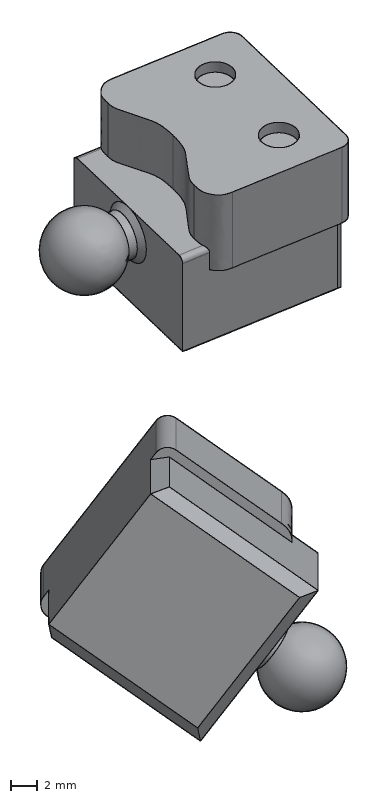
import cadquery as cq


block_width = 15.0
block_depth = 15.0
block_height = 9.98
block_chamfer = 1.0
block_top_fillet = 0.5

cap_width = 16.5
cap_depth = 12.94
cap_bottom = 7.83
cap_top = 15.15
cap_back_radius = 1.1
cap_side_end = 10.99
lobe_inner_x = 5.98
wave_end_x = 5.85
wave_crest_depth = 10.97

hole_diameter = 3.09
hole_spacing = 8.77
hole_inset = 4.25
hole_depth = 1.0

ball_radius = 3.4
ball_height = 7.5
overall_depth = 22.38
ball_center_y = ball_radius - overall_depth
neck_diameter = 4.0
neck_flare = 0.5


def make_block():
    block = cq.Workplane("XY").box(
        block_width, block_depth, block_height, centered=(True, False, False)
    )
    block = block.translate((0, -block_depth, 0))
    block = block.edges("|Y and >Z").fillet(block_top_fillet)
    block = block.edges("|Z and >Y").chamfer(block_chamfer)
    return block.faces("<Z").edges("|Y or <Y").chamfer(block_chamfer)


def make_cap():
    half_width = cap_width / 2
    side_end = (half_width, -cap_side_end)
    lobe_points = [(7.8, -12.26), (7.16, -12.75)]
    lobe_end = (lobe_inner_x, -cap_depth)
    wave_start = (wave_end_x, -cap_depth)
    wave_points = [(4.59, -12.55), (3.07, -11.73)]
    crest = (0, -wave_crest_depth)

    half = (
        cq.Workplane("XY", origin=(0, 0, cap_bottom))
        .lineTo(half_width, 0)
        .lineTo(*side_end)
        .spline([side_end] + lobe_points + [lobe_end], tangents=[(0, -1), (-1, 0)])
        .lineTo(*wave_start)
        .spline([wave_start] + wave_points + [crest], tangents=[(-1, 0), (-1, 0)])
        .close()
        .extrude(cap_top - cap_bottom)
    )
    half = half.edges("|Z and >X and >Y").fillet(cap_back_radius)
    return half.union(half.mirror("YZ"))


def make_holes():
    return (
        cq.Workplane("XY", origin=(0, -hole_inset, cap_top))
        .pushPoints([(-hole_spacing / 2, 0), (hole_spacing / 2, 0)])
        .circle(hole_diameter / 2)
        .extrude(-hole_depth)
    )


def make_ball_stud():
    neck_radius = neck_diameter / 2
    flare_end = -block_depth - neck_flare
    neck = (
        cq.Workplane("XY", origin=(0, 0, ball_height))
        .moveTo(0, -block_depth)
        .lineTo(neck_radius + neck_flare, -block_depth)
        .lineTo(neck_radius, flare_end)
        .lineTo(neck_radius, ball_center_y)
        .lineTo(0, ball_center_y)
        .close()
        .revolve(360, (0, 0, 0), (0, 1, 0))
    )
    ball = cq.Workplane("XY").sphere(ball_radius).translate((0, ball_center_y, ball_height))
    return neck.union(ball)


result = make_block().union(make_cap()).cut(make_holes()).union(make_ball_stud())